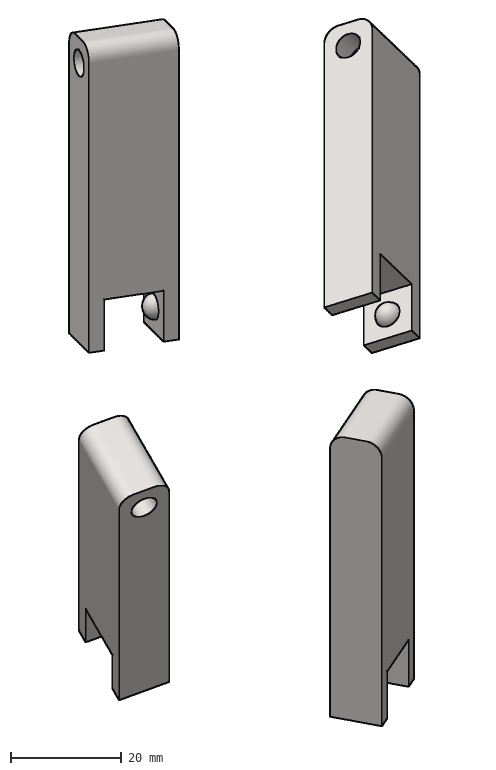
import cadquery as cq

width = 10.0
depth = 17.5
height = 60.0
top_fillet = 3.0

prong_thickness = 3.0
slot_height = 10.0

pivot_radius = 2.5
pivot_inset = width / 2
socket_depth = 2 * pivot_radius
bump_height = 2.1

front_y = -depth / 2
prong_inner_y = depth / 2 - prong_thickness


def make_body():
    block = cq.Workplane("XY").box(width, depth, height, centered=(True, True, False))
    return block.faces(">Z").edges("|Y").fillet(top_fillet)


def make_slot():
    slot_width = depth - 2 * prong_thickness
    return cq.Workplane("XY").box(width, slot_width, slot_height, centered=(True, True, False))


def make_socket():
    """Blind round hole entering from the -Y face."""
    socket = cq.Workplane("XZ").circle(pivot_radius).extrude(-socket_depth)
    return socket.translate((0, front_y, height - pivot_inset))


def make_bump():
    """Spherical cap standing on the inner face of the +Y prong."""
    center_y = prong_inner_y - bump_height + pivot_radius
    sphere = cq.Workplane("XY").sphere(pivot_radius)
    return sphere.translate((0, center_y, pivot_inset))


result = make_body().cut(make_slot()).cut(make_socket()).union(make_bump())